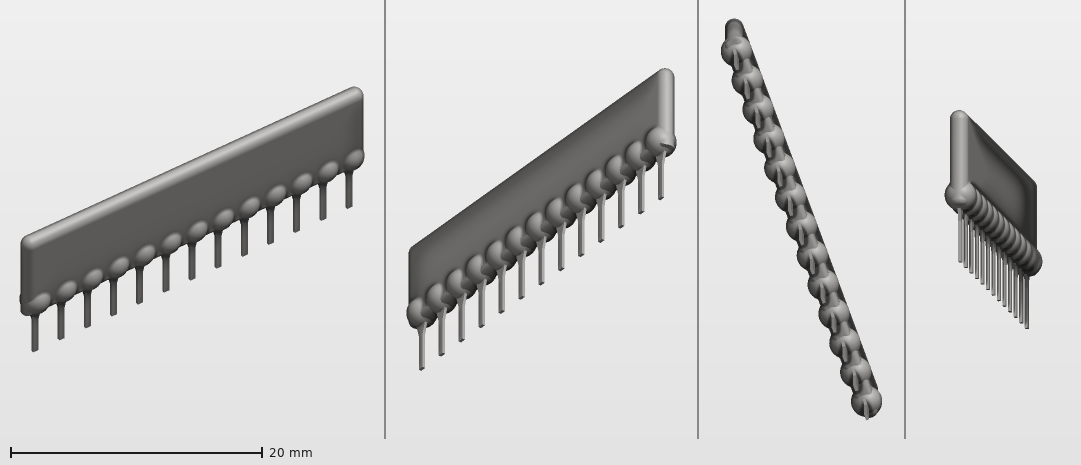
import cadquery as cq
import math

pin_count = 13
pin_pitch = 2.54
overall_height = 12.19
body_thickness = 1.5
body_top = 6.77
body_bottom = -0.97
bottom_fillet = 0.42
bead_radius = 1.25
blend_radius = 0.4
blend_end_turn = 70.0
blend_section_count = 6
ball_overshoot = 4.5
pin_width = 0.5
pin_thickness = 0.25
taper_width = 1.05
taper_top = -1.15
taper_bottom = -2.15
blend_bite = 0.01

edge_radius = body_thickness / 2
pin_span = (pin_count - 1) * pin_pitch
body_length = pin_span + 2 * bead_radius
flat_length = body_length - body_thickness
flat_end = flat_length / 2
round_center_z = body_top - edge_radius
post_height = round_center_z - body_bottom
pin_tip = body_top - overall_height
bead_positions = [i * pin_pitch - pin_span / 2 for i in range(pin_count)]

ball_to_bead = bead_radius + blend_radius
ball_to_midplane = edge_radius + blend_radius
blend_ring_radius = math.sqrt(ball_to_bead**2 - ball_to_midplane**2)
end_offset = bead_radius - edge_radius
blend_low_angle = -math.degrees(math.asin(-(body_bottom + bottom_fillet) / blend_ring_radius))
blend_high_angle = 90 + math.degrees(math.asin(end_offset / blend_ring_radius))


def make_slab(length):
    """Flat-sided slab along Y with its two long bottom edges rounded."""
    slab = cq.Workplane("XY").box(body_thickness, length, post_height, centered=(True, True, False))
    return slab.faces("<Z").edges("|Y").fillet(bottom_fillet).translate((0, 0, body_bottom))


def make_post(y):
    """Round vertical end of the body."""
    return cq.Workplane("XY", origin=(0, y, body_bottom)).circle(edge_radius).extrude(post_height)


def make_body():
    """Plate with a full-round top and full-round ends."""
    top_plane = cq.Workplane("XZ", origin=(0, flat_end, round_center_z))
    top_round = top_plane.circle(edge_radius).extrude(flat_length)
    back_post = make_post(flat_end).faces("<Z").edges().fillet(bottom_fillet)
    front_post = make_post(-flat_end).intersect(make_slab(body_length))
    body = make_slab(flat_length).union(top_round).union(back_post).union(front_post)
    for y in (-flat_end, flat_end):
        body = body.union(cq.Workplane("XY", origin=(0, y, round_center_z)).sphere(edge_radius))
    return body


def make_bead(y):
    """Ball-shaped bead around the root of a pin."""
    return cq.Workplane("XY", origin=(0, y, 0)).sphere(bead_radius)


def make_ring_blend(high_angle):
    """Blend from a bead at the origin to the flat side at +X.

    It is revolved about X from the top of the bottom rounding on the +Y side up to high_angle.
    """
    sweep_angle = high_angle - blend_low_angle
    axis_start = (0, 0, 0)
    axis_end = (1, 0, 0)
    ball_center = (ball_to_midplane, blend_ring_radius)
    triangle = cq.Workplane("XY").polyline([(0, 0), ball_center, (0, blend_ring_radius)]).close()
    ball_section = cq.Workplane("XY").pushPoints([ball_center]).circle(blend_radius)
    wedge = triangle.revolve(sweep_angle, axis_start, axis_end)
    ball_track = ball_section.revolve(sweep_angle, axis_start, axis_end)
    return wedge.cut(ball_track).rotate(axis_start, axis_end, blend_low_angle)


def end_ball_center(turn):
    """Rolling-ball centre after turning around the -Y body end, relative to the last bead."""
    x = ball_to_midplane * math.cos(turn)
    y = -end_offset - ball_to_midplane * math.sin(turn)
    z = math.sqrt(ball_to_bead**2 - x**2 - y**2)
    return cq.Vector(x, y, z)


def end_ball_path(first_turn, last_turn):
    """Evenly turned rolling-ball centres around the -Y body end."""
    step = (last_turn - first_turn) / blend_section_count
    return [end_ball_center(first_turn + i * step) for i in range(blend_section_count + 1)]


def make_end_blend():
    """Blend from a bead at the origin onto the round -Y body end at +X, fading out around it."""
    last_turn = math.radians(blend_end_turn)
    overshoot = math.radians(ball_overshoot)
    sections = []
    for center in end_ball_path(0, last_turn):
        post_axis_point = cq.Vector(0, -end_offset, center.z)
        sections.append(cq.Wire.makePolygon([cq.Vector(0, 0, 0), center, post_axis_point], close=True))
    wedge = cq.Workplane(cq.Solid.makeLoft(sections, True))
    ball_centers = end_ball_path(-overshoot, last_turn + overshoot)
    path = cq.Edge.makeSpline(ball_centers)
    start = cq.Plane(origin=ball_centers[0], normal=path.tangentAt(0))
    ball_track = cq.Workplane(start).circle(blend_radius + blend_bite).sweep(cq.Workplane(path))
    return wedge.cut(ball_track)


def make_pin(y):
    """Flat pin whose root widens into the bead."""
    half_pin = pin_width / 2
    half_taper = taper_width / 2
    outline = [
        (y - half_pin, pin_tip),
        (y + half_pin, pin_tip),
        (y + half_pin, taper_bottom),
        (y + half_taper, taper_top),
        (y + half_taper, 0),
        (y - half_taper, 0),
        (y - half_taper, taper_top),
        (y - half_pin, taper_bottom),
    ]
    return cq.Workplane("YZ").polyline(outline).close().extrude(pin_thickness / 2, both=True)


def on_both_sides(shape):
    """The shape together with its mirror image across the mid-plane of the body."""
    return [shape, shape.mirror("YZ")]


middle_blends = on_both_sides(make_ring_blend(180 - blend_low_angle))
end_blends = on_both_sides(make_ring_blend(blend_high_angle)) + on_both_sides(make_end_blend())

result = make_body()
for y in bead_positions:
    result = result.union(make_bead(y))
for blend in end_blends:
    front_blend = blend.translate((0, bead_positions[0], 0))
    result = result.union(front_blend).union(front_blend.mirror("XZ"))
for y in bead_positions[1:-1]:
    for blend in middle_blends:
        result = result.union(blend.translate((0, y, 0)))
for y in bead_positions:
    result = result.union(make_pin(y))